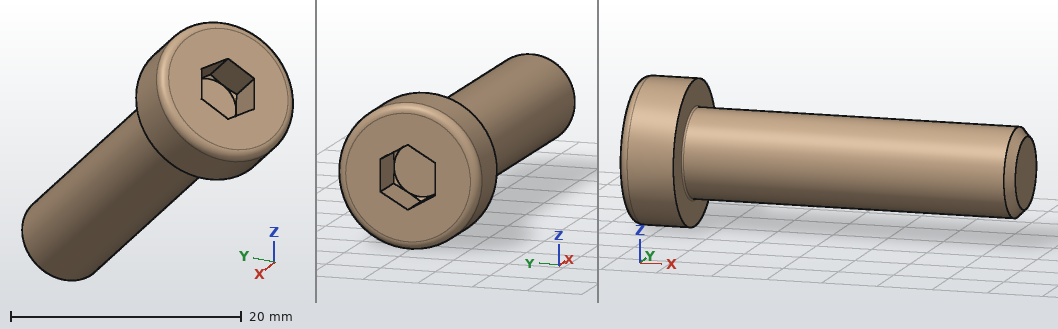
import cadquery as cq
import math

head_diameter = 13.0
head_height = 5.0
head_edge_radius = 0.8

shank_diameter = 8.0
shank_length = 30.0
tip_chamfer = 0.8
underhead_fillet = 0.15

socket_across_flats = 5.0
socket_depth = 3.8
corner_slope_angle = 24.0

socket_across_corners = socket_across_flats / math.cos(math.radians(30))
corner_run = (socket_across_corners - socket_across_flats) / 2
corner_rise = corner_run * math.tan(math.radians(corner_slope_angle))


def make_body():
    """Head and shank turned about the X axis, head face at the low-X end."""
    head_radius = head_diameter / 2
    shank_radius = shank_diameter / 2
    tip_x = head_height + shank_length
    arc_inset = head_edge_radius * (1 - math.sqrt(0.5))
    fillet_inset = underhead_fillet * (1 - math.sqrt(0.5))
    profile = (
        cq.Workplane("XY")
        .lineTo(0, head_radius - head_edge_radius)
        .threePointArc((arc_inset, head_radius - arc_inset), (head_edge_radius, head_radius))
        .lineTo(head_height, head_radius)
        .lineTo(head_height, shank_radius + underhead_fillet)
        .threePointArc(
            (head_height + fillet_inset, shank_radius + fillet_inset),
            (head_height + underhead_fillet, shank_radius),
        )
        .lineTo(tip_x - tip_chamfer, shank_radius)
        .lineTo(tip_x, shank_radius - tip_chamfer)
        .lineTo(tip_x, 0)
        .close()
    )
    return profile.revolve(360, (0, 0, 0), (1, 0, 0))


def make_socket():
    """Hexagonal recess with two flats facing +-Y, its floor coned up at the corners."""
    hexagon = (
        cq.Workplane("YZ")
        .polygon(6, socket_across_corners)
        .extrude(socket_depth)
        .rotate((0, 0, 0), (1, 0, 0), 90)
    )
    coned_cylinder = (
        cq.Workplane("YZ")
        .circle(socket_across_corners / 2)
        .extrude(socket_depth)
        .faces(">X")
        .edges()
        .chamfer(corner_rise, corner_run)
    )
    return hexagon.intersect(coned_cylinder)


result = make_body().cut(make_socket())